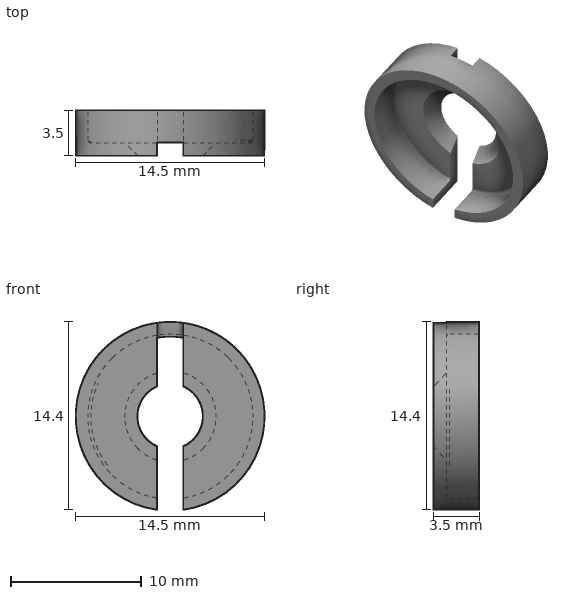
import cadquery as cq

OUTER_DIAMETER = 14.47
TOTAL_DEPTH = 3.5
PLATE_THICKNESS = 1.0
CAVITY_DIAMETER = 12.65
CAVITY_CORNER_RADIUS = 0.23
HOLE_DIAMETER = 4.99
SLOT_WIDTH = 2 * PLATE_THICKNESS

OUTER_RADIUS = OUTER_DIAMETER / 2
HOLE_FRONT_RADIUS = HOLE_DIAMETER / 2
HOLE_BACK_RADIUS = HOLE_FRONT_RADIUS + PLATE_THICKNESS
FRONT_Y = -TOTAL_DEPTH / 2
PLATE_BACK_Y = FRONT_Y + PLATE_THICKNESS
RIM_DEPTH = TOTAL_DEPTH - PLATE_THICKNESS


def disc(diameter, start_y, depth):
    """Cylinder along +Y that starts at start_y."""
    return cq.Workplane("XZ", origin=(0, start_y, 0)).circle(diameter / 2).extrude(-depth)


def cavity():
    """Round pocket open at the back, with a rounded corner at its floor."""
    pocket = disc(CAVITY_DIAMETER, PLATE_BACK_Y, RIM_DEPTH)
    return pocket.faces("<Y").edges().fillet(CAVITY_CORNER_RADIUS)


def tapered_hole():
    """Conical bore through the plate, widest at the cavity floor."""
    profile = cq.Workplane("XY").polyline([
        (0, FRONT_Y),
        (HOLE_FRONT_RADIUS, FRONT_Y),
        (HOLE_BACK_RADIUS, PLATE_BACK_Y),
        (0, PLATE_BACK_Y),
    ]).close()
    return profile.revolve(360, (0, 0, 0), (0, 1, 0))


def plate_slot():
    """Slot across the whole plate, as deep as the plate is thick."""
    slot = cq.Workplane("XY").box(SLOT_WIDTH, PLATE_THICKNESS, OUTER_DIAMETER)
    return slot.translate((0, FRONT_Y + PLATE_THICKNESS / 2, 0))


def rim_gap():
    """Gap through the full depth of the rim at the bottom, in line with the slot."""
    gap = cq.Workplane("XY").box(SLOT_WIDTH, TOTAL_DEPTH, OUTER_RADIUS)
    return gap.translate((0, 0, -OUTER_RADIUS / 2))


def slotted_cup():
    blank = disc(OUTER_DIAMETER, FRONT_Y, TOTAL_DEPTH)
    return blank.cut(cavity()).cut(tapered_hole()).cut(plate_slot()).cut(rim_gap())


cup = slotted_cup()
result = cq.Compound.makeCompound([cup.solids().val()])